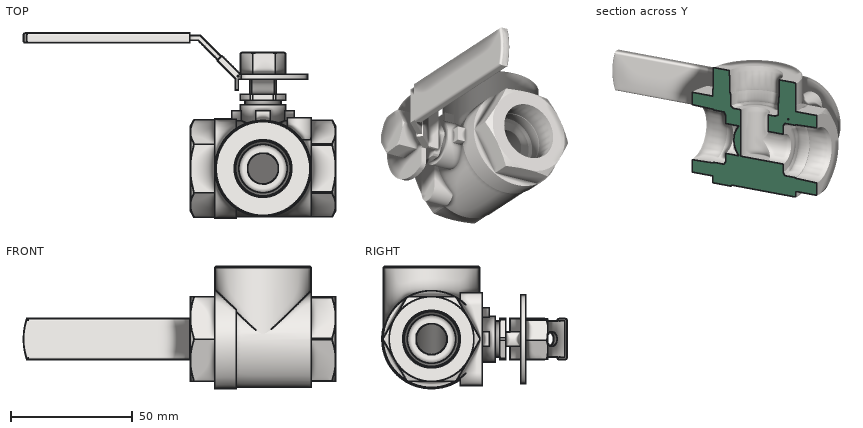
import cadquery as cq
import math


PORT_REACH = 30.0
BODY_DIAMETER = 40.0
BODY_HALF_LENGTH = 20.0
COLLAR_DIAMETER = 41.0
COLLAR_INNER_X = -11.0
BRANCH_DIAMETER = 39.75
BRANCH_CHAMFER = 0.5

CHAMFER_ANGLE = 30.0
CUTTER_MARGIN = 1.0

HEX_FLATS = 35.0

MOUTH_DIAMETER = 23.8
THREAD_TAPER = 1 / 16
THREAD_DEPTH = 10.3
RELIEF_DIAMETER = 22.6
RELIEF_DEPTH = 15.4
SEAT_DIAMETER = 20.0
SEAT_CONE_RISE = 30.0
WATERWAY_DIAMETER = 12.8
BALL_DIAMETER = 20.0

BONNET_DIAMETER = 19.0
BONNET_TOP = 26.4
GLAND_DIAMETER = 15.0
GLAND_TOP = 28.2
GLAND_NUT_FLATS = 17.0
GLAND_NUT_DIAMETER = 19.0
GLAND_NUT_TOP = 30.7
STEM_DIAMETER = 11.0
STEM_FLATS = 6.0
LUG_WIDTH = 6.0
LUG_REACH = 13.0
LUG_TOP = 23.9

PAD_X = 15.0
PAD_RADIUS = 5.0
PAD_CENTRE_Z = 14.2
PAD_BOTTOM = 11.8
PAD_TOP = 21.0

PLATE_BOTTOM = 36.8
PLATE_TOP = 39.0
PLATE_RADIUS = 18.4
PLATE_SHOULDER_X = -9.0
PLATE_SHOULDER_Z = 14.0
PLATE_CORNER_Z = 17.0
LEVER_NUT_CORNERS = 18.7
LEVER_NUT_TOP = 48.0
LEVER_NUT_TURN = 3.5
LEVER_NUT_FACE_DIAMETER = 17.0

LEVER_WIDTH = 17.0
ARM_WIDTH = 15.0
ARM_THICKNESS = 2.1
GRIP_END_X = -99.0
GRIP_INNER_X = -30.2
GRIP_BOTTOM = 51.9
GRIP_TOP = 56.0
GRIP_ROUND = 1.0
GRIP_END_BULGE = 1.4
BEND_ANGLE = 45.0
BEND_X = -25.9
SLOPE_HOLE_DIAMETER = 6.0
SLOPE_HOLE_X = -21.4
ROOT_THICKNESS = 2.8
ROOT_TOP_Y = 45.6
ROOT_BOTTOM_Y = 38.1
TAB_X = -11.4
TAB_THICKNESS = 1.2
TAB_BOTTOM = 32.4


def cylinder_y(diameter, bottom, top):
    """Cylinder on the stem axis between two Y levels."""
    return cq.Workplane("XZ", origin=(0, bottom, 0)).circle(diameter / 2).extrude(bottom - top)


def hexagon_y(corner_diameter, bottom, top, turn=0.0):
    """Hexagonal prism on the stem axis with two corners on X before the turn."""
    prism = cq.Workplane("XZ", origin=(0, bottom, 0)).polygon(6, corner_diameter).extrude(bottom - top)
    return prism.rotate((0, 0, 0), (0, 1, 0), turn)


def box_between(x_range, y_range, z_range):
    (x0, x1), (y0, y1), (z0, z1) = x_range, y_range, z_range
    return cq.Workplane("XY").box(x1 - x0, y1 - y0, z1 - z0, centered=False).translate((x0, y0, z0))


def across_corners(flats):
    return flats / math.cos(math.radians(30))


def chamfer_envelope(face_radius, corner_radius, length):
    """Bar along Z from 0 to length whose far end tapers to the face radius."""
    outer_radius = corner_radius + CUTTER_MARGIN
    cone_length = (outer_radius - face_radius) * math.tan(math.radians(CHAMFER_ANGLE))
    return (
        cq.Workplane("XZ")
        .lineTo(outer_radius, 0)
        .lineTo(outer_radius, length - cone_length)
        .lineTo(face_radius, length)
        .lineTo(0, length)
        .close()
        .revolve(360, (0, 0, 0), (0, 1, 0))
    )


def run_hexagon():
    """Hexagon on the -X end of the body, with its outer corners cut by a cone."""
    corners = across_corners(HEX_FLATS)
    length = PORT_REACH - BODY_HALF_LENGTH
    prism = cq.Workplane("YZ", origin=(-PORT_REACH, 0, 0)).polygon(6, corners).extrude(length)
    envelope = chamfer_envelope(HEX_FLATS / 2, corners / 2, PORT_REACH)
    return prism.intersect(envelope.rotate((0, 0, 0), (0, 1, 0), -90))


def valve_body():
    body = (
        cq.Workplane("YZ", origin=(-BODY_HALF_LENGTH, 0, 0))
        .circle(BODY_DIAMETER / 2)
        .extrude(2 * BODY_HALF_LENGTH)
    )
    collar_length = COLLAR_INNER_X + BODY_HALF_LENGTH
    collar = (
        cq.Workplane("YZ", origin=(-BODY_HALF_LENGTH, 0, 0))
        .circle(COLLAR_DIAMETER / 2)
        .extrude(collar_length)
    )
    branch = (
        cq.Workplane("XY")
        .circle(BRANCH_DIAMETER / 2)
        .extrude(PORT_REACH)
        .faces(">Z")
        .chamfer(BRANCH_CHAMFER)
    )
    left_hexagon = run_hexagon()
    turned_bar = cq.Workplane("YZ").circle(BODY_DIAMETER / 2).extrude(PORT_REACH)
    right_hexagon = left_hexagon.mirror("YZ").intersect(turned_bar)
    return body.union(collar).union(branch).union(left_hexagon).union(right_hexagon)


def threaded_bore():
    """Tapered bore of the branch port down to its seat."""
    thread_end_diameter = MOUTH_DIAMETER - THREAD_TAPER * THREAD_DEPTH
    cone_width = (RELIEF_DIAMETER - SEAT_DIAMETER) / 2
    seat_depth = RELIEF_DEPTH + cone_width * math.tan(math.radians(SEAT_CONE_RISE))
    return (
        cq.Workplane("XZ")
        .moveTo(0, PORT_REACH)
        .lineTo(MOUTH_DIAMETER / 2, PORT_REACH)
        .lineTo(thread_end_diameter / 2, PORT_REACH - THREAD_DEPTH)
        .lineTo(RELIEF_DIAMETER / 2, PORT_REACH - THREAD_DEPTH)
        .lineTo(RELIEF_DIAMETER / 2, PORT_REACH - RELIEF_DEPTH)
        .lineTo(SEAT_DIAMETER / 2, PORT_REACH - seat_depth)
        .lineTo(0, PORT_REACH - seat_depth)
        .close()
        .revolve(360, (0, 0, 0), (0, 1, 0))
    )


def flow_passages():
    """Branch and +X ports joined by the ball; the ball closes the -X port."""
    radius = WATERWAY_DIAMETER / 2
    branch_bore = threaded_bore()
    branch_way = cq.Workplane("XY", origin=(0, 0, -radius)).circle(radius).extrude(radius + PORT_REACH)
    right_way = cq.Workplane("YZ").circle(radius).extrude(PORT_REACH)
    ball = cq.Workplane("XY").sphere(BALL_DIAMETER / 2)
    left_way = cq.Workplane("YZ").circle(radius).extrude(-PORT_REACH).cut(ball)
    passages = branch_bore.union(branch_way).union(right_way).union(left_way)
    for angle in (90, -90):
        passages = passages.union(branch_bore.rotate((0, 0, 0), (0, 1, 0), angle))
    return passages


def stem_assembly():
    bonnet = cylinder_y(BONNET_DIAMETER, 0, BONNET_TOP)
    gland = cylinder_y(GLAND_DIAMETER, 0, GLAND_TOP)
    gland_nut = hexagon_y(across_corners(GLAND_NUT_FLATS), GLAND_TOP, GLAND_NUT_TOP)
    gland_nut = gland_nut.intersect(cylinder_y(GLAND_NUT_DIAMETER, GLAND_TOP, GLAND_NUT_TOP))
    flats = box_between(
        (-STEM_DIAMETER, STEM_DIAMETER), (0, PLATE_TOP), (-STEM_FLATS / 2, STEM_FLATS / 2)
    )
    stem = cylinder_y(STEM_DIAMETER, 0, PLATE_TOP).intersect(flats)
    return bonnet.union(gland).union(gland_nut).union(stem)


def stop_lugs():
    """Three square lugs around the bonnet, towards -X, +X and +Z."""
    half = LUG_WIDTH / 2
    run_lugs = box_between((-LUG_REACH, LUG_REACH), (0, LUG_TOP), (-half, half))
    branch_lug = box_between((-half, half), (0, LUG_TOP), (0, LUG_REACH))
    return run_lugs.union(branch_lug)


def mounting_pad():
    return (
        cq.Workplane("XZ", origin=(PAD_X, PAD_BOTTOM, 0))
        .slot2D(2 * (PAD_CENTRE_Z + PAD_RADIUS), 2 * PAD_RADIUS, 90)
        .extrude(PAD_BOTTOM - PAD_TOP)
    )


def lever_plate():
    """Round stop plate with a straight shoulder and rounded corners on the lever side."""
    corner_x = -math.sqrt(PLATE_RADIUS**2 - PLATE_CORNER_Z**2)
    step_x = corner_x - PLATE_SHOULDER_X
    step_z = PLATE_CORNER_Z - PLATE_SHOULDER_Z
    round_radius = (step_x**2 + step_z**2) / (2 * step_x)
    sweep = math.asin(step_z / round_radius) / 2
    mid_x = PLATE_SHOULDER_X + round_radius * (1 - math.cos(sweep))
    mid_z = PLATE_SHOULDER_Z + round_radius * math.sin(sweep)
    plate = (
        cq.Workplane("XZ", origin=(0, PLATE_BOTTOM, 0))
        .moveTo(PLATE_SHOULDER_X, -PLATE_SHOULDER_Z)
        .lineTo(PLATE_SHOULDER_X, PLATE_SHOULDER_Z)
        .threePointArc((mid_x, mid_z), (corner_x, PLATE_CORNER_Z))
        .threePointArc((PLATE_RADIUS, 0), (corner_x, -PLATE_CORNER_Z))
        .threePointArc((mid_x, -mid_z), (PLATE_SHOULDER_X, -PLATE_SHOULDER_Z))
        .close()
        .extrude(PLATE_BOTTOM - PLATE_TOP)
    )
    half = LEVER_WIDTH / 2
    strip = box_between((TAB_X + TAB_THICKNESS, 0), (PLATE_BOTTOM, PLATE_TOP), (-half, half))
    return plate.union(strip)


def lever_nut():
    prism = hexagon_y(LEVER_NUT_CORNERS, PLATE_TOP, LEVER_NUT_TOP, LEVER_NUT_TURN)
    envelope = chamfer_envelope(LEVER_NUT_FACE_DIAMETER / 2, LEVER_NUT_CORNERS / 2, LEVER_NUT_TOP)
    return prism.intersect(envelope.rotate((0, 0, 0), (1, 0, 0), -90))


def lever_grip():
    half = LEVER_WIDTH / 2
    corner_x = GRIP_END_X + GRIP_END_BULGE
    return (
        cq.Workplane("XZ", origin=(0, GRIP_BOTTOM, 0))
        .moveTo(GRIP_INNER_X, -half)
        .lineTo(GRIP_INNER_X, half)
        .lineTo(corner_x, half)
        .threePointArc((GRIP_END_X, 0), (corner_x, -half))
        .close()
        .extrude(GRIP_BOTTOM - GRIP_TOP)
        .faces("<Y or >Y")
        .edges("not(>X)")
        .fillet(GRIP_ROUND)
    )


def lever_arm():
    """Flat strip in the grip, bent down 45 degrees to the wide root and its tab."""
    arm_middle_y = (GRIP_BOTTOM + GRIP_TOP) / 2
    arm_top = arm_middle_y + ARM_THICKNESS / 2
    arm_bottom = arm_middle_y - ARM_THICKNESS / 2
    bend_lower_x = BEND_X - ARM_THICKNESS * math.tan(math.radians(BEND_ANGLE / 2))
    upper_sum = BEND_X + arm_top
    lower_sum = bend_lower_x + arm_bottom
    middle_sum = (upper_sum + lower_sum) / 2
    root_middle_y = (ROOT_TOP_Y + ROOT_BOTTOM_Y) / 2

    arm = (
        cq.Workplane("XY", origin=(0, 0, -ARM_WIDTH / 2))
        .moveTo(GRIP_INNER_X, arm_top)
        .lineTo(BEND_X, arm_top)
        .lineTo(upper_sum - root_middle_y, root_middle_y)
        .lineTo(lower_sum - root_middle_y, root_middle_y)
        .lineTo(bend_lower_x, arm_bottom)
        .lineTo(GRIP_INNER_X, arm_bottom)
        .close()
        .extrude(ARM_WIDTH)
    )
    hole_y = middle_sum - SLOPE_HOLE_X
    hole_plane = cq.Plane(origin=(SLOPE_HOLE_X, hole_y, 0), xDir=(0, 0, 1), normal=(1, 1, 0))
    hole = cq.Workplane(hole_plane).circle(SLOPE_HOLE_DIAMETER / 2).extrude(ARM_THICKNESS, both=True)

    root_length = (ROOT_TOP_Y - ROOT_BOTTOM_Y) / math.sin(math.radians(BEND_ANGLE))
    root = (
        cq.Workplane("XY")
        .box(root_length, ROOT_THICKNESS, LEVER_WIDTH)
        .rotate((0, 0, 0), (0, 0, 1), -BEND_ANGLE)
        .translate((middle_sum - root_middle_y, root_middle_y, 0))
    )
    half = LEVER_WIDTH / 2
    tab = box_between((TAB_X, TAB_X + TAB_THICKNESS), (TAB_BOTTOM, ROOT_BOTTOM_Y), (-half, half))
    return arm.cut(hole).union(root).union(tab)


valve = valve_body().union(stem_assembly()).union(stop_lugs()).union(mounting_pad())
valve = valve.cut(flow_passages())
lever = lever_plate().union(lever_nut()).union(lever_arm()).union(lever_grip())
result = valve.union(lever)